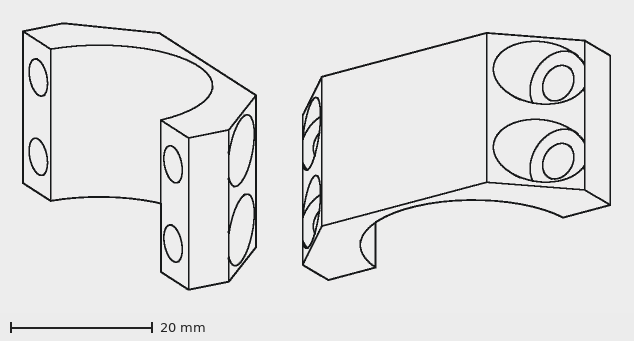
import cadquery as cq

length = 48.0
depth = 16.5
height = 23.0
corner_cut = 10.0

bore_radius = 16.0
bore_axis_offset = 1.0

hole_diameter = 5.35
counterbore_diameter = 9.6
hole_spacing_x = 39.0
hole_spacing_z = 12.0

shoulder_y = depth - corner_cut


def make_block():
    half = length / 2
    flat_half = half - corner_cut
    outline = [
        (-half, 0),
        (half, 0),
        (half, shoulder_y),
        (flat_half, depth),
        (-flat_half, depth),
        (-half, shoulder_y),
    ]
    return cq.Workplane("XY").polyline(outline).close().extrude(height / 2, both=True)


def make_bore():
    return (
        cq.Workplane("XY")
        .center(0, -bore_axis_offset)
        .circle(bore_radius)
        .extrude(height / 2, both=True)
    )


def make_bolt_cylinders(diameter, start_y):
    """Cylinders at the four bolt places, from start_y to the back face."""
    return (
        cq.Workplane("XZ")
        .workplane(offset=-start_y)
        .rarray(hole_spacing_x, hole_spacing_z, 2, 2)
        .circle(diameter / 2)
        .extrude(start_y - depth)
    )


bolt_holes = make_bolt_cylinders(hole_diameter, 0)
counterbores = make_bolt_cylinders(counterbore_diameter, shoulder_y)

result = make_block().cut(make_bore()).cut(bolt_holes).cut(counterbores)